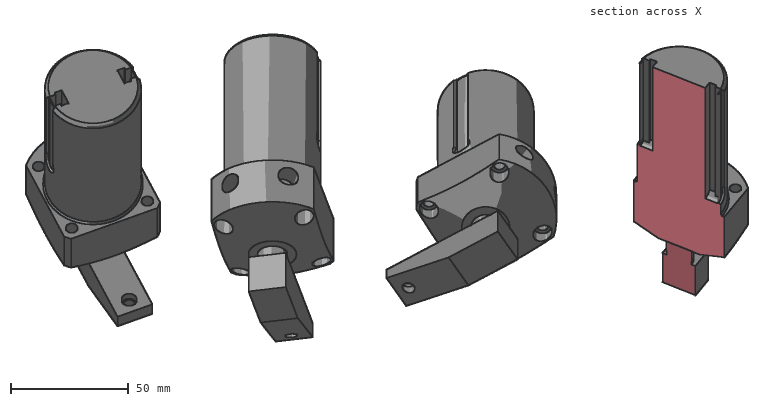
import cadquery as cq
import math


overall_height = 124.3
tube_height = 71.3

tube_radius = 20.5
rim_radius = 19.0
rim_height = 1.7
cap_height = 0.9
cap_radius = 19.9
foot_radius = 21.2
foot_height = 1.0

slot_width = 7.3
slot_neck_width = 5.2
slot_back = 12.9
slot_step = 16.2
slot_neck_end = 18.9
groove_floor_radius = 19.4
groove_taper = 25.0
slot_end_radius = 4.5
front_slot_end_z = 26.7
rear_slot_end_z = 10.9

flange_half_width = 22.2
flange_right = 22.5
flange_round_radius = 30.1
flange_corner = 1.5
flange_side_height = 21.2
flange_height = 28.1
flange_bottom_radius = 10.2
bolt_offset = 17.5
bolt_hole_radius = 2.5
counterbore_radius = 4.0
counterbore_top_z = -16.3

port_radius = 4.3
port_depth = 9.3
port_z = -7.7
port_angle = 25.0

rod_radius = 6.3
rod_neck_radius = 6.2
rod_neck_height = 1.5
arm_top_z = -35.5
arm_left = -10.9
arm_length = 55.4
arm_width = 16.2
arm_tip_height = 7.1
arm_flat_length = 24.5
arm_hole_inset = 6.1
arm_hole_radius = 2.6
arm_counterbore_radius = 3.2
arm_counterbore_depth = 3.7

arm_bottom_z = tube_height - overall_height


def make_tube():
    """Solid tube with a two-step top chamfer and a bevelled foot."""
    profile = (
        cq.Workplane("XZ")
        .moveTo(0, 0)
        .lineTo(foot_radius, 0)
        .lineTo(tube_radius, foot_height)
        .lineTo(tube_radius, tube_height - rim_height)
        .lineTo(cap_radius, tube_height - cap_height)
        .lineTo(rim_radius, tube_height)
        .lineTo(0, tube_height)
        .close()
    )
    return profile.revolve(360, (0, 0, 0), (0, 1, 0))


def make_groove(end_z):
    """Shallow groove on the -Y side, with slanted walls and a round lower end."""
    groove_plane = cq.Workplane("XZ", origin=(0, -tube_radius, end_z))
    straight_height = tube_height - end_z
    depth = tube_radius - slot_step
    end = groove_plane.circle(slot_end_radius).extrude(-depth, taper=groove_taper)
    straight = (
        groove_plane.center(0, straight_height)
        .rect(slot_width, 2 * straight_height)
        .extrude(-depth, taper=groove_taper)
    )
    core = cq.Workplane("XY").circle(groove_floor_radius).extrude(2 * tube_height)
    return end.union(straight).cut(core)


def make_pocket(end_z):
    """T-shaped pocket behind the groove, open at the top, with a round bottom."""
    bottom_z = end_z - slot_end_radius
    height = tube_height - bottom_z
    head = (
        cq.Workplane("XY", origin=(0, -(slot_back + slot_step) / 2, bottom_z))
        .rect(slot_width, slot_step - slot_back)
        .extrude(height)
    )
    neck = (
        cq.Workplane("XY", origin=(0, -(slot_step + slot_neck_end) / 2, bottom_z))
        .rect(slot_neck_width, slot_neck_end - slot_step)
        .extrude(height)
    )
    side_shape = cq.Workplane("XZ", origin=(0, 0, end_z)).circle(slot_end_radius).extrude(tube_radius)
    upper_shape = (
        cq.Workplane("XZ", origin=(0, 0, (end_z + tube_height) / 2))
        .rect(slot_width, tube_height - end_z)
        .extrude(tube_radius)
    )
    return head.union(neck).intersect(side_shape.union(upper_shape))


def make_slot(end_z):
    """Complete sensor slot: groove, pocket and the pocket's opening through the end cap."""
    opening = (
        cq.Workplane("XY", origin=(0, -(slot_step + tube_radius) / 2, tube_height - cap_height))
        .rect(slot_neck_width, tube_radius - slot_step)
        .extrude(cap_height)
    )
    return make_groove(end_z).union(make_pocket(end_z)).union(opening)


def make_flange():
    """Flange with one rounded side, chamfered corners, a conical underside and bolt holes."""
    round_start = -math.sqrt(flange_round_radius**2 - flange_half_width**2)
    plate = (
        cq.Workplane("XY")
        .moveTo(round_start, -flange_half_width)
        .lineTo(flange_right - flange_corner, -flange_half_width)
        .lineTo(flange_right, -flange_half_width + flange_corner)
        .lineTo(flange_right, flange_half_width - flange_corner)
        .lineTo(flange_right - flange_corner, flange_half_width)
        .lineTo(round_start, flange_half_width)
        .threePointArc((-flange_round_radius, 0), (round_start, -flange_half_width))
        .close()
        .extrude(-flange_height)
    )
    cone_envelope = (
        cq.Workplane("XZ")
        .moveTo(0, 0)
        .lineTo(flange_round_radius, 0)
        .lineTo(flange_round_radius, -flange_side_height)
        .lineTo(flange_bottom_radius, -flange_height)
        .lineTo(0, -flange_height)
        .close()
        .revolve(360, (0, 0, 0), (0, 1, 0))
    )
    bolt_centres = (
        cq.Workplane("XY")
        .rect(2 * bolt_offset, 2 * bolt_offset, forConstruction=True)
        .vertices()
    )
    bolt_holes = bolt_centres.circle(bolt_hole_radius).extrude(-flange_height)
    counterbores = (
        bolt_centres.circle(counterbore_radius)
        .extrude(-flange_height - counterbore_top_z)
        .translate((0, 0, counterbore_top_z))
    )
    return plate.intersect(cone_envelope).cut(bolt_holes).cut(counterbores)


def make_port(angle):
    """Flat-bottomed radial bore into the rounded side, turned from -X by the angle."""
    bore = (
        cq.Workplane("YZ", origin=(-flange_round_radius, 0, port_z))
        .circle(port_radius)
        .extrude(port_depth)
    )
    return bore.rotate((0, 0, 0), (0, 0, 1), angle)


def make_housing():
    """Tube and flange in one piece, with the sensor slots and ports cut out."""
    front_slot = make_slot(front_slot_end_z)
    rear_slot = make_slot(rear_slot_end_z).rotate((0, 0, 0), (0, 0, 1), 180)
    housing = make_tube().union(make_flange()).cut(front_slot).cut(rear_slot)
    for angle in (-port_angle, port_angle):
        housing = housing.cut(make_port(angle))
    return housing


def make_clamp_arm():
    """Rod reaching down from the housing and the tapered arm fixed to it."""
    arm_right = arm_left + arm_length
    arm = (
        cq.Workplane("XZ")
        .moveTo(arm_left, arm_top_z)
        .lineTo(arm_right, arm_top_z)
        .lineTo(arm_right, arm_top_z - arm_tip_height)
        .lineTo(arm_left + arm_flat_length, arm_bottom_z)
        .lineTo(arm_left, arm_bottom_z)
        .close()
        .extrude(arm_width / 2, both=True)
    )
    hole_x = arm_right - arm_hole_inset
    hole_start = cq.Workplane("XY", origin=(hole_x, 0, arm_top_z))
    hole = hole_start.circle(arm_hole_radius).extrude(arm_bottom_z - arm_top_z)
    counterbore = hole_start.circle(arm_counterbore_radius).extrude(-arm_counterbore_depth)
    neck = cq.Workplane("XY", origin=(0, 0, arm_top_z)).circle(rod_neck_radius).extrude(rod_neck_height)
    rod_bottom_z = arm_top_z + rod_neck_height
    rod = (
        cq.Workplane("XY", origin=(0, 0, rod_bottom_z))
        .circle(rod_radius)
        .extrude(-flange_height - rod_bottom_z)
    )
    return arm.cut(hole).cut(counterbore).union(neck).union(rod)


housing = make_housing()
clamp_arm = make_clamp_arm()
result = cq.Compound.makeCompound([housing.val(), clamp_arm.val()])